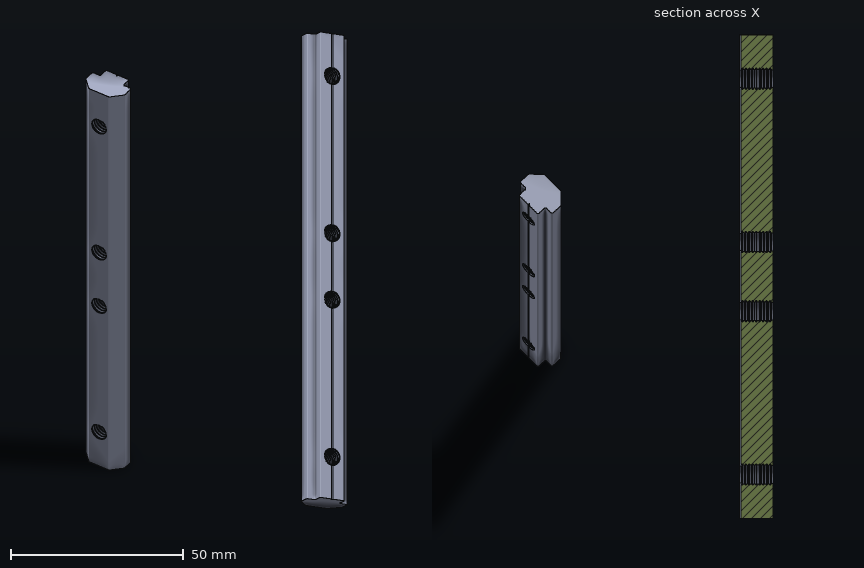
import cadquery as cq

length = 140.0
width = 13.5
height = 9.8

neck_width = 8.0
neck_height = 3.0
base_width = 7.0
shoulder_radius = 0.5
base_radius = 0.8
flank_radius = 0.5
neck_top_radius = 0.4
neck_root_radius = 0.4

groove_width = 0.5
groove_depth = 0.5

thread_minor_diameter = 5.0
thread_major_diameter = 6.0
thread_pitch = 1.0
thread_ring_count = 9
thread_ring_width = thread_pitch * 7 / 8
thread_root_width = thread_pitch / 8
inner_hole_offset = 10.0
outer_hole_offset = 57.25

base_y = -height / 2
top_y = height / 2
shoulder_y = top_y - neck_height
flank_y = base_y + (width - base_width) / 2


def round_long_edges(bar, x, y, radius):
    """Fillet the mirrored pair of edges that run along Z at (-x, y) and (x, y)."""
    for edge_x in (-x, x):
        bar = bar.edges(cq.selectors.NearestToPointSelector((edge_x, y, 0))).fillet(radius)
    return bar


def make_bar():
    """Extrude the T-shaped section along Z and round its long edges."""
    right_half = [
        (base_width / 2, base_y),
        (width / 2, flank_y),
        (width / 2, shoulder_y),
        (neck_width / 2, shoulder_y),
        (neck_width / 2, top_y),
        (groove_width / 2, top_y),
    ]
    groove_bottom = [(0, top_y - groove_depth)]
    left_half = [(-x, y) for x, y in reversed(right_half)]
    bar = (
        cq.Workplane("XY", origin=(0, 0, -length / 2))
        .polyline(right_half + groove_bottom + left_half)
        .close()
        .extrude(length)
    )
    bar = round_long_edges(bar, base_width / 2, base_y, base_radius)
    bar = round_long_edges(bar, width / 2, flank_y, flank_radius)
    bar = round_long_edges(bar, width / 2, shoulder_y, shoulder_radius)
    bar = round_long_edges(bar, neck_width / 2, shoulder_y, neck_root_radius)
    return round_long_edges(bar, neck_width / 2, top_y, neck_top_radius)


def make_threaded_hole():
    """Solid of revolution about Y: a core with ring-shaped thread grooves between the two faces."""
    minor_radius = thread_minor_diameter / 2
    major_radius = thread_major_diameter / 2
    first_ring_y = -thread_pitch * (thread_ring_count - 1) / 2
    outline = [(0, base_y), (minor_radius, base_y)]
    for ring in range(thread_ring_count):
        ring_y = first_ring_y + ring * thread_pitch
        outline += [
            (minor_radius, ring_y - thread_ring_width / 2),
            (major_radius, ring_y - thread_root_width / 2),
            (major_radius, ring_y + thread_root_width / 2),
            (minor_radius, ring_y + thread_ring_width / 2),
        ]
    outline += [(minor_radius, top_y), (0, top_y)]
    return cq.Workplane("XY").polyline(outline).close().revolve(360, (0, 0, 0), (0, 1, 0))


def cut_holes(bar):
    """Cut the threaded holes in two pairs about mid-length."""
    threaded_hole = make_threaded_hole()
    for offset in (inner_hole_offset, outer_hole_offset):
        for z in (-offset, offset):
            bar = bar.cut(threaded_hole.translate((0, 0, z)))
    return bar


result = cut_holes(make_bar())